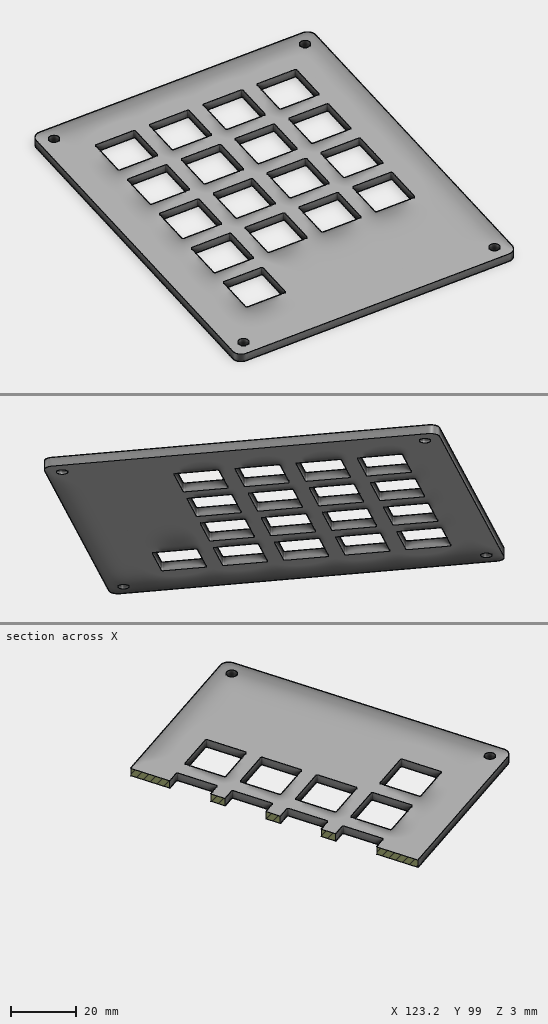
import cadquery as cq

plate_length = 123.2
plate_width = 99.0
plate_thickness = 3.0
plate_corner_radius = 3.0

screw_hole_diameter = 3.5
screw_hole_inset = 5.0

window_size = 14.0
window_corner_radius = 0.5
grid_count = 4
grid_span = 57.2
window_pitch = grid_span / (grid_count - 1)
bottom_row_count = grid_count + 1
bottom_row_centre_x = -2.5
grid_centre_y = 0.4

first_window_x = bottom_row_centre_x - window_pitch * (bottom_row_count - 1) / 2
first_window_y = grid_centre_y - grid_span / 2


def make_plate():
    """Flat plate with rounded vertical corners."""
    return (
        cq.Workplane("XY")
        .rect(plate_length, plate_width)
        .extrude(plate_thickness)
        .edges("|Z")
        .fillet(plate_corner_radius)
    )


def make_screw_holes():
    """Through holes at the four corners, equally inset from both edges."""
    return (
        cq.Workplane("XY")
        .rect(
            plate_length - 2 * screw_hole_inset,
            plate_width - 2 * screw_hole_inset,
            forConstruction=True,
        )
        .vertices()
        .circle(screw_hole_diameter / 2)
        .extrude(plate_thickness)
    )


def window_centres():
    """Centres of all windows, row by row from the bottom row up."""
    centres = []
    for row in range(grid_count):
        columns = bottom_row_count if row == 0 else grid_count
        for column in range(columns):
            x = first_window_x + column * window_pitch
            y = first_window_y + row * window_pitch
            centres.append((x, y))
    return centres


def make_windows():
    """Through cuts for the keys, with slightly rounded corners."""
    return (
        cq.Workplane("XY")
        .pushPoints(window_centres())
        .rect(window_size, window_size)
        .extrude(plate_thickness)
        .edges("|Z")
        .fillet(window_corner_radius)
    )


result = make_plate().cut(make_screw_holes()).cut(make_windows())